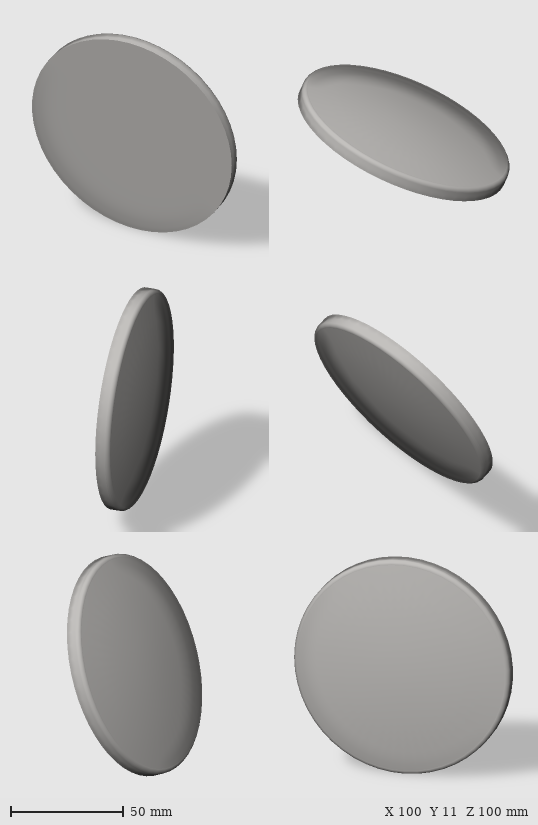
import cadquery as cq
import math

disc_diameter = 100.0
total_thickness = 11.0
rim_height = 4.5
dome_edge_height = 6.5
edge_radius = 2.0

disc_radius = disc_diameter / 2
dome_edge_radius = disc_radius - edge_radius

dome_rise = total_thickness - dome_edge_height
dome_radius = (dome_edge_radius**2 + dome_rise**2) / (2 * dome_rise)
mid_radius = dome_edge_radius / 2
mid_height = total_thickness - dome_radius + math.sqrt(dome_radius**2 - mid_radius**2)

edge_offset = edge_radius * math.sqrt(0.5)
edge_mid = (dome_edge_radius + edge_offset, rim_height + edge_offset)

section = (
    cq.Workplane("XY")
    .lineTo(disc_radius, 0)
    .lineTo(disc_radius, rim_height)
    .threePointArc(edge_mid, (dome_edge_radius, dome_edge_height))
    .threePointArc((mid_radius, mid_height), (0, total_thickness))
    .close()
)
result = section.revolve(360, (0, 0, 0), (0, 1, 0))